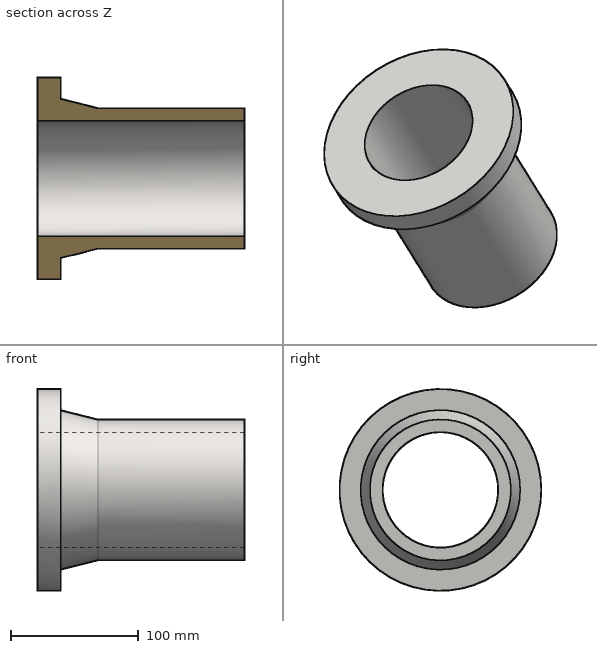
import cadquery as cq

length = 162.0
flange_diameter = 158.0
flange_thickness = 18.3
tube_diameter = 110.2
bore_diameter = 90.0
neck_diameter = 124.7
neck_length = 29.0

flange_radius = flange_diameter / 2
tube_radius = tube_diameter / 2
bore_radius = bore_diameter / 2
neck_radius = neck_diameter / 2
neck_end = flange_thickness + neck_length

half_section = (
    cq.Workplane("XY")
    .moveTo(0, bore_radius)
    .lineTo(0, flange_radius)
    .lineTo(flange_thickness, flange_radius)
    .lineTo(flange_thickness, neck_radius)
    .lineTo(neck_end, tube_radius)
    .lineTo(length, tube_radius)
    .lineTo(length, bore_radius)
    .close()
)

result = half_section.revolve(360, (0, 0, 0), (1, 0, 0))